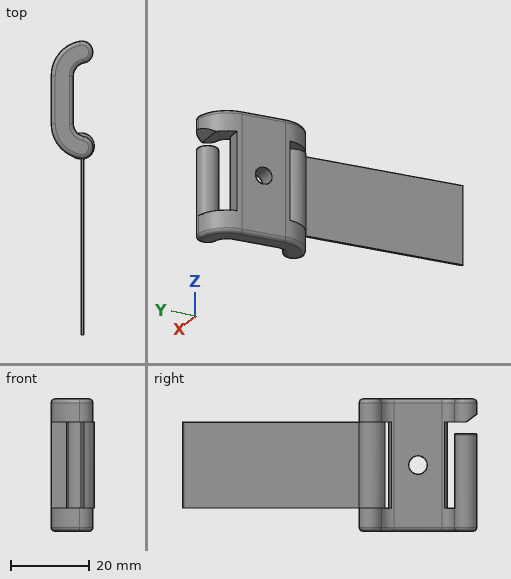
import cadquery as cq
import math

frame_height = 34.0
frame_half_length = 15.1
plate_half_length = 7.55
plate_thickness = 5.7
rim_fillet = 1.05

bend_outer_radius = 9.05
bend_inner_radius = bend_outer_radius - plate_thickness
bend_mid_radius = (bend_outer_radius + bend_inner_radius) / 2
hook_radius = plate_thickness / 2
hook_x = 7.85
hook_y = frame_half_length - hook_radius
hook_angle = math.acos((bend_outer_radius - hook_x) / bend_mid_radius)
bend_y = hook_y - bend_mid_radius * math.sin(hook_angle)

window_height = 22.0
hole_diameter = 4.7
plate_edge_flat = 4.0
plate_bevel_angle = 23.0

pin_top = 8.1
pin_fillet = 0.3
lead_in_length = 2.7
lead_in_height = 2.0

overall_length = 75.4
loop_radius = 3.4
loop_x = 7.7
loop_y = -11.8
strap_thickness = 0.7
strap_end_fillet = 0.3
strap_end_y = frame_half_length - overall_length

half_window = window_height / 2


def mirrored(point):
    """Reflect a profile point across Y = 0."""
    return (point[0], -point[1])


def bend_point(radius, angle):
    """Point on a bend arc; the angle grows from the plate towards the hook tip."""
    return (bend_outer_radius - radius * math.cos(angle), bend_y + radius * math.sin(angle))


def upright_cylinder(x, y, radius, bottom, top):
    return cq.Workplane("XY", origin=(x, y, bottom)).circle(radius).extrude(top - bottom)


def make_frame():
    outer_start, outer_arc_mid, outer_arc_end = [
        bend_point(bend_outer_radius, hook_angle * part) for part in (0, 0.5, 1)
    ]
    inner_start, inner_arc_mid, inner_arc_end = [
        bend_point(bend_inner_radius, hook_angle * part) for part in (0, 0.5, 1)
    ]
    hook_tip = (hook_x + hook_radius * math.sin(hook_angle), hook_y + hook_radius * math.cos(hook_angle))
    profile = (
        cq.Workplane("XY", origin=(0, 0, -frame_height / 2))
        .moveTo(*mirrored(outer_start))
        .lineTo(*outer_start)
        .threePointArc(outer_arc_mid, outer_arc_end)
        .threePointArc(hook_tip, inner_arc_end)
        .threePointArc(inner_arc_mid, inner_start)
        .lineTo(*mirrored(inner_start))
        .threePointArc(mirrored(inner_arc_mid), mirrored(inner_arc_end))
        .threePointArc(mirrored(hook_tip), mirrored(outer_arc_end))
        .threePointArc(mirrored(outer_arc_mid), mirrored(outer_start))
        .close()
    )
    return profile.extrude(frame_height).faces("<Z or >Z").edges().fillet(rim_fillet)


def make_window(side):
    """Cutter for the opening beyond the plate; side is +1 or -1 along Y."""
    bevel_run = frame_half_length - plate_edge_flat
    bevel_depth = bevel_run * math.tan(math.radians(plate_bevel_angle))
    return (
        cq.Workplane("XY", origin=(0, 0, -half_window))
        .moveTo(-frame_half_length, side * plate_half_length)
        .lineTo(plate_edge_flat, side * plate_half_length)
        .lineTo(frame_half_length, side * (plate_half_length - bevel_depth))
        .lineTo(frame_half_length, side * 2 * frame_half_length)
        .lineTo(-frame_half_length, side * 2 * frame_half_length)
        .close()
        .extrude(window_height)
    )


def make_lead_in():
    """Sloping wedge under the tip of the upper rail, running along X."""
    return (
        cq.Workplane("YZ")
        .moveTo(frame_half_length - lead_in_length, half_window)
        .lineTo(frame_half_length, half_window)
        .lineTo(frame_half_length, half_window + lead_in_height)
        .close()
        .extrude(frame_half_length)
    )


def make_pin():
    pin = upright_cylinder(hook_x, hook_y, hook_radius, -half_window, pin_top)
    return pin.faces(">Z").edges().fillet(pin_fillet)


def make_strap():
    strap = (
        cq.Workplane("XY")
        .box(strap_thickness, loop_y - strap_end_y, window_height, centered=(False, False, True))
        .translate((loop_x, strap_end_y, 0))
    )
    return strap.faces("<Y").edges("|Z").fillet(strap_end_fillet)


hole = cq.Workplane("YZ").circle(hole_diameter / 2).extrude(plate_thickness)
loop = upright_cylinder(loop_x, loop_y, loop_radius, -half_window, half_window)

result = make_frame().cut(hole).cut(make_lead_in())
for side in (-1, 1):
    result = result.cut(make_window(side))
result = result.union(make_pin()).union(loop).union(make_strap())